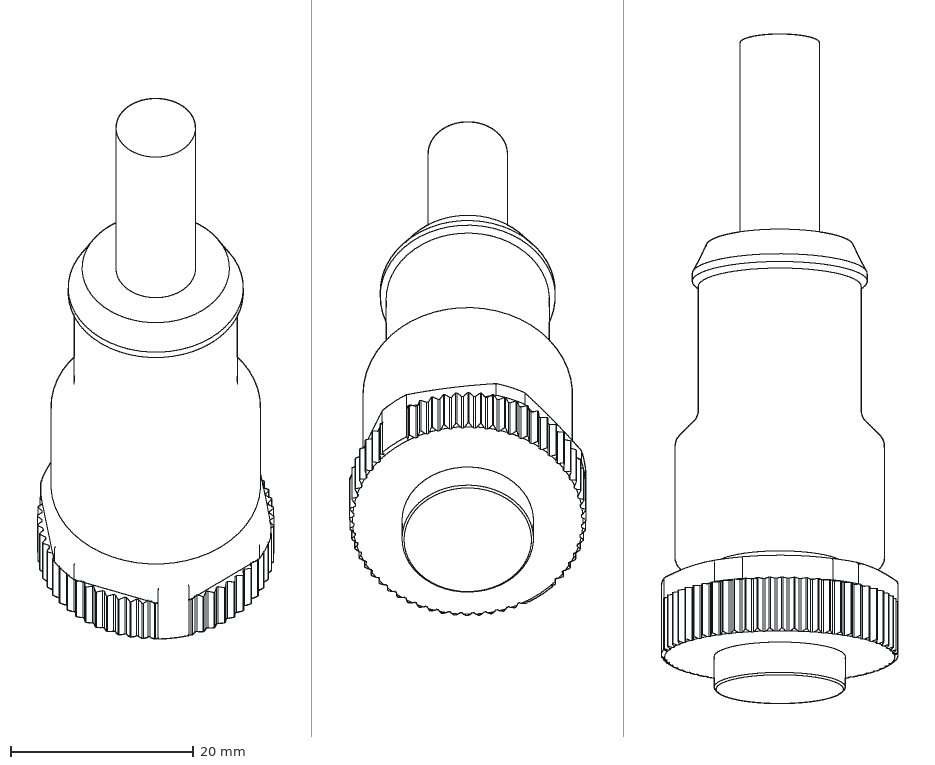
import cadquery as cq
import math

TOTAL_HEIGHT = 72.9
NUT_BOTTOM = 3.65
KNURL_TOP = 9.6
NUT_TOP = 12.5
BODY_BOTTOM = 13.9
SHOULDER_BOTTOM = 27.4
SLEEVE_BOTTOM = 31.5
COLLAR_BOTTOM = 45.4
COLLAR_RIM_BOTTOM = 46.0
COLLAR_RIM_TOP = 46.9
BODY_TOP = 50.0

CABLE_RADIUS = 4.4
PLUG_RADIUS = 7.2
BODY_RADIUS = 11.5
SLEEVE_RADIUS = 9.0
COLLAR_RADIUS = 9.6
COLLAR_TOP_RADIUS = 8.1
PLUG_CHAMFER = 0.2
BODY_BOTTOM_ROUND = 0.9

SHOULDER_ANGLE = math.radians(45)
SHOULDER_OUTER_ROUND = 1.1
SHOULDER_INNER_ROUND = 2.5

NUT_RADIUS = 26.0 / 2
NUT_SIDES = 6
NUT_ACROSS_FLATS = 24.05
NUT_CORNER_ANGLE = 8.6
NUT_TOP_FACE_RADIUS = 11.4
NUT_TOP_CONE_DROP = 0.45
NUT_TOP_ROUND = 0.45
NUT_BOTTOM_CHAMFER_WIDTH = 0.4
NUT_BOTTOM_CHAMFER_HEIGHT = 0.2

GROOVE_COUNT = 60
GROOVE_PITCH = 360 / GROOVE_COUNT
GROOVE_DEPTH = 0.5
GROOVE_HALF_ANGLE = 2.7
GROOVE_ROOT_HALF_ANGLE = 0.5
PANEL_HALF_ANGLE = 7.5
PANEL_ANGLE = NUT_CORNER_ANGLE + 2 * 360 / NUT_SIDES


def polar(radius, degrees):
    """Plan-view point at a radius and angle from +X."""
    angle = math.radians(degrees)
    return (radius * math.cos(angle), radius * math.sin(angle))


def make_body():
    """Turned plug, moulded body, sleeve, collar and cable."""
    sin_slope = math.sin(SHOULDER_ANGLE)
    cos_slope = math.cos(SHOULDER_ANGLE)
    sin_half = math.sin(SHOULDER_ANGLE / 2)
    cos_half = math.cos(SHOULDER_ANGLE / 2)

    outer_center = BODY_RADIUS - SHOULDER_OUTER_ROUND
    inner_center = SLEEVE_RADIUS + SHOULDER_INNER_ROUND

    def outer_point(sine, cosine):
        return (outer_center + SHOULDER_OUTER_ROUND * cosine, SHOULDER_BOTTOM + SHOULDER_OUTER_ROUND * sine)

    def inner_point(sine, cosine):
        return (inner_center - SHOULDER_INNER_ROUND * cosine, SLEEVE_BOTTOM - SHOULDER_INNER_ROUND * sine)

    mid_inset = BODY_BOTTOM_ROUND * (1 - math.sqrt(0.5))
    profile = (
        cq.Workplane("XZ")
        .moveTo(0, 0)
        .lineTo(PLUG_RADIUS - PLUG_CHAMFER, 0)
        .lineTo(PLUG_RADIUS, PLUG_CHAMFER)
        .lineTo(PLUG_RADIUS, BODY_BOTTOM)
        .lineTo(BODY_RADIUS - BODY_BOTTOM_ROUND, BODY_BOTTOM)
        .threePointArc(
            (BODY_RADIUS - mid_inset, BODY_BOTTOM + mid_inset),
            (BODY_RADIUS, BODY_BOTTOM + BODY_BOTTOM_ROUND),
        )
        .lineTo(BODY_RADIUS, SHOULDER_BOTTOM)
        .threePointArc(outer_point(sin_half, cos_half), outer_point(sin_slope, cos_slope))
        .lineTo(*inner_point(sin_slope, cos_slope))
        .threePointArc(inner_point(sin_half, cos_half), (SLEEVE_RADIUS, SLEEVE_BOTTOM))
        .lineTo(SLEEVE_RADIUS, COLLAR_BOTTOM)
        .lineTo(COLLAR_RADIUS, COLLAR_RIM_BOTTOM)
        .lineTo(COLLAR_RADIUS, COLLAR_RIM_TOP)
        .lineTo(COLLAR_TOP_RADIUS, BODY_TOP)
        .lineTo(CABLE_RADIUS, BODY_TOP)
        .lineTo(CABLE_RADIUS, TOTAL_HEIGHT)
        .lineTo(0, TOTAL_HEIGHT)
        .close()
    )
    return profile.revolve(360, (0, 0, 0), (0, 1, 0))


def make_nut_blank():
    """Turned nut blank with a coned top and a chamfered bottom edge."""
    profile = (
        cq.Workplane("XZ")
        .moveTo(0, NUT_BOTTOM)
        .lineTo(NUT_RADIUS - NUT_BOTTOM_CHAMFER_WIDTH, NUT_BOTTOM)
        .lineTo(NUT_RADIUS, NUT_BOTTOM + NUT_BOTTOM_CHAMFER_HEIGHT)
        .lineTo(NUT_RADIUS, NUT_TOP - NUT_TOP_CONE_DROP)
        .lineTo(NUT_TOP_FACE_RADIUS, NUT_TOP)
        .lineTo(0, NUT_TOP)
        .close()
    )
    return profile.revolve(360, (0, 0, 0), (0, 1, 0))


def make_hexagon():
    """Hexagonal upper part of the nut, its corners rounded by the blank."""
    height = NUT_TOP - KNURL_TOP
    across_corners = NUT_ACROSS_FLATS / math.cos(math.pi / NUT_SIDES)
    prism = (
        cq.Workplane("XY")
        .workplane(offset=KNURL_TOP)
        .polygon(NUT_SIDES, across_corners)
        .extrude(height)
        .rotate((0, 0, 0), (0, 0, 1), NUT_CORNER_ANGLE)
    )
    hexagon = make_nut_blank().intersect(prism)

    return hexagon.faces("%CONE").edges("not(>Z)").fillet(NUT_TOP_ROUND)


def make_knurled_ring():
    """Round lower part of the nut: grooves all round, then two smooth panels filled back in."""
    height = KNURL_TOP - NUT_BOTTOM
    ring_limit = cq.Workplane("XY").workplane(offset=NUT_BOTTOM).circle(NUT_RADIUS).extrude(height)
    ring = make_nut_blank().intersect(ring_limit)

    grooves = cq.Workplane("XY").workplane(offset=NUT_BOTTOM)
    for index in range(GROOVE_COUNT):
        angle = NUT_CORNER_ANGLE + index * GROOVE_PITCH
        grooves = grooves.polyline([
            polar(NUT_RADIUS - GROOVE_DEPTH, angle - GROOVE_ROOT_HALF_ANGLE),
            polar(NUT_RADIUS, angle - GROOVE_HALF_ANGLE),
            polar(NUT_RADIUS + GROOVE_DEPTH, angle),
            polar(NUT_RADIUS, angle + GROOVE_HALF_ANGLE),
            polar(NUT_RADIUS - GROOVE_DEPTH, angle + GROOVE_ROOT_HALF_ANGLE),
        ]).close()

    reach = 2 * NUT_RADIUS
    panels = cq.Workplane("XY").workplane(offset=NUT_BOTTOM)
    for center in (PANEL_ANGLE, PANEL_ANGLE + 180):
        panels = panels.polyline([
            (0, 0),
            polar(reach, center - PANEL_HALF_ANGLE),
            polar(reach, center + PANEL_HALF_ANGLE),
        ]).close()
    panels = panels.extrude(height).intersect(ring)
    return ring.cut(grooves.extrude(height)).union(panels)


result = make_body().union(make_knurled_ring()).union(make_hexagon())